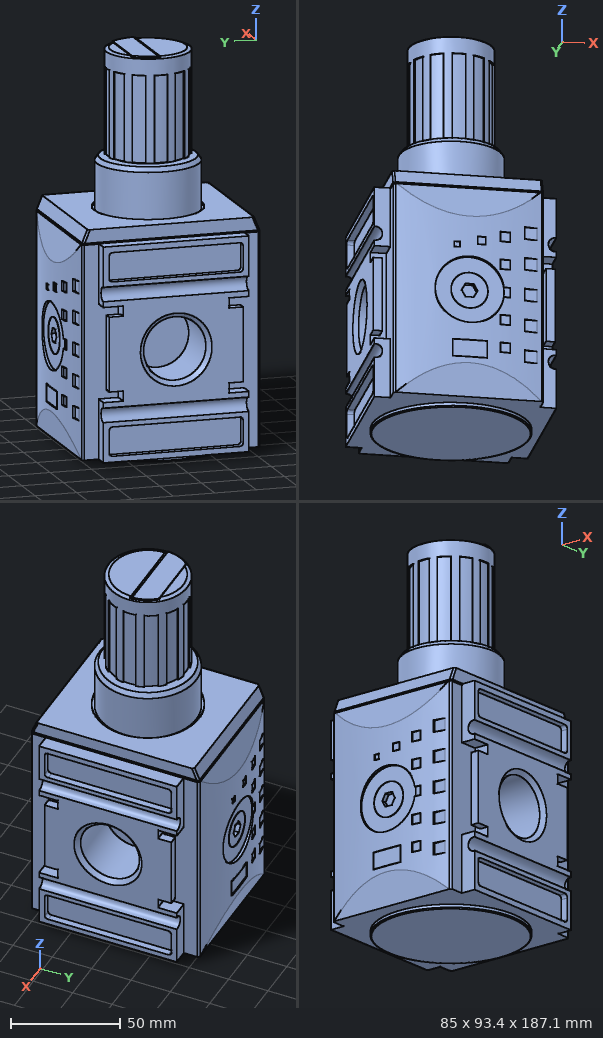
import cadquery as cq
import math

body_width = 70.0
body_depth = 85.7
body_bottom = 3.0
seam_height = 105.0
body_top = 111.7
top_depth = 80.0
corner_chamfer = 1.0
seam_gap = 0.7
seam_depth = 0.4
half_width = body_width / 2
half_depth = body_depth / 2
body_middle = (body_bottom + seam_height) / 2

overall_depth = 93.4
panel_reach = overall_depth / 2
panel_width = body_width - 2 * corner_chamfer
panel_slope_height = 15.3
panel_rise = panel_reach - half_depth
crown_radius = ((panel_width / 2) ** 2 + panel_rise**2) / (2 * panel_rise)

mark_depth = 0.5
large_mark = 5.8
large_mark_x = 28.8
large_mark_pitch = 15.0
small_mark = 4.7
small_mark_x = 16.7
small_mark_pitch = 13.5
loose_marks = [(5.5, 24.1, 3.7), (-6.0, 21.7, 2.6)]
window_length = 16.0
window_height = 8.2
window_drop = 28.6
plug_radius = 16.0
plug_reach = 45.0
plug_boss_radius = 8.6
plug_boss_height = 0.2
hexagon_diameter = 7.5
hexagon_depth = 2.2

overall_width = 85.0
flange_reach = overall_width / 2
flange_width = body_width
opening_height = 44.9
clamp_slab_width = 64.4
clamp_slab_height = 35.4
clamp_slab_thickness = 4.3
clamp_stem_width = 50.9
groove_radius = 3.4
groove_depth = 3.7
groove_pitch = 57.0
pocket_width = 64.4
pocket_height = 13.8
pocket_pitch = 82.3
pocket_depth = 3.5
pocket_fillet = 1.7
port_radius = 15.0
port_mouth_radius = 17.2
port_depth = 28.0

bonnet_radius = 24.5
bonnet_top = 135.8
bonnet_bevel_height = 2.2
bonnet_bevel_width = 1.7
bonnet_gap_radius = 25.8
bonnet_gap_depth = 1.0
neck_radius = 17.2
knob_bottom = 136.8
knob_radius = 20.0
knob_top = 187.1
knob_bevel_width = 2.0
knob_bevel_height = 0.7
flute_top = 178.1
flute_radius = 19.3
flute_width = 6.4
flute_count = 12
knob_bar_radius = 19.0
knob_bar_height = 0.4
knob_bar_ramp = 1.1
knob_bar_end = 12.5
base_radius = 37.0
base_thickness = 2.0
base_chamfer = 0.5
base_neck_radius = 30.1


def box(x_range, y_range, z_range):
    """Block spanning the given ranges."""
    size = [high - low for low, high in (x_range, y_range, z_range)]
    corner = (x_range[0], y_range[0], z_range[0])
    return cq.Workplane("XY").box(*size, centered=False).translate(corner)


def cylinder(radius, bottom, top):
    """Vertical cylinder on the part axis."""
    return cq.Workplane("XY").workplane(offset=bottom).circle(radius).extrude(top - bottom)


def front_prism(x, z, width, height, reach_from, length):
    """Rectangular prism running towards -Y from y = -reach_from."""
    sketch = cq.Workplane("XZ", origin=(x, -reach_from, z)).rect(width, height)
    return sketch.extrude(length)


def on_both_ends(shape):
    """The shape together with a copy rotated by half a turn about Z."""
    return shape.union(shape.rotate((0, 0, 0), (0, 0, 1), 180))


def make_block():
    """Rectangular block with its cap tapered in Y and its corner edges bevelled."""
    block = (
        cq.Workplane("YZ", origin=(-half_width, 0, 0))
        .moveTo(-half_depth, body_bottom)
        .lineTo(half_depth, body_bottom)
        .lineTo(half_depth, seam_height)
        .lineTo(top_depth / 2, body_top)
        .lineTo(-top_depth / 2, body_top)
        .lineTo(-half_depth, seam_height)
        .close()
        .extrude(body_width)
        .faces("<X or >X")
        .edges("not |Y")
        .chamfer(corner_chamfer)
    )
    seam = (
        cq.Workplane("XY")
        .workplane(offset=seam_height - seam_gap / 2)
        .rect(2 * body_width, 2 * body_depth)
        .rect(body_width - 2 * seam_depth, body_depth - 2 * seam_depth)
        .extrude(seam_gap)
    )
    return block.cut(seam)


def make_panel():
    """Crowned -Y panel, sloped off at both ends."""
    crown = (
        cq.Workplane("XY", origin=(0, 0, body_bottom))
        .moveTo(-panel_width / 2, -half_depth)
        .threePointArc((0, -panel_reach), (panel_width / 2, -half_depth))
        .close()
        .extrude(seam_height - body_bottom)
    )
    slope_limit = (
        cq.Workplane("YZ", origin=(-half_width, 0, 0))
        .moveTo(0, body_bottom)
        .lineTo(-half_depth, body_bottom)
        .lineTo(-panel_reach, body_bottom + panel_slope_height)
        .lineTo(-panel_reach, seam_height - panel_slope_height)
        .lineTo(-half_depth, seam_height)
        .lineTo(0, seam_height)
        .close()
        .extrude(body_width)
    )
    return crown.intersect(slope_limit)


def panel_y(x):
    """Distance of the crowned panel surface from the XZ plane."""
    axis_distance = panel_reach - crown_radius
    return axis_distance + math.sqrt(crown_radius**2 - x**2)


def make_mark(x, z, width, height):
    """Cutter for a shallow rectangular recess in the -Y panel."""
    floor = panel_y(x) - mark_depth
    return front_prism(x, z, width, height, floor, panel_reach)


def make_marks():
    """Cutters for every recess in the -Y panel."""
    marks = make_mark(0, body_middle - window_drop, window_length, window_height)
    for row in range(-2, 3):
        large_z = body_middle + row * large_mark_pitch
        small_z = body_middle + row * small_mark_pitch
        marks = marks.union(make_mark(large_mark_x, large_z, large_mark, large_mark))
        marks = marks.union(make_mark(small_mark_x, small_z, small_mark, small_mark))
    for x, rise, side in loose_marks:
        marks = marks.union(make_mark(x, body_middle + rise, side, side))
    return marks


def cut_plug(panel):
    """Sink a round plug into the panel, with a low boss and a hexagon socket in its middle."""
    face_plane = cq.Workplane("XZ", origin=(0, -plug_reach, body_middle))
    recess = face_plane.circle(plug_radius).extrude(panel_reach - plug_reach)
    boss = face_plane.circle(plug_boss_radius).extrude(plug_boss_height)
    socket = face_plane.polygon(6, hexagon_diameter).extrude(hexagon_depth, both=True)
    return panel.cut(recess).union(boss).cut(socket)


def make_flange():
    """Flange on the -X face: two grooved rails and a T-shaped clamp pad between them."""
    outer = -flange_reach
    inner = -half_width
    half_flange = flange_width / 2
    flange = box((outer, inner), (-half_flange, half_flange), (body_bottom, seam_height))
    half_opening = opening_height / 2
    opening_z = (body_middle - half_opening, body_middle + half_opening)
    flange = flange.cut(box((outer, inner), (-half_flange, half_flange), opening_z))

    half_stem = clamp_stem_width / 2
    half_slab = clamp_slab_width / 2
    slab_z = (body_middle - clamp_slab_height / 2, body_middle + clamp_slab_height / 2)
    stem = box((outer, inner), (-half_stem, half_stem), opening_z)
    slab = box((outer, outer + clamp_slab_thickness), (-half_slab, half_slab), slab_z)
    flange = flange.union(stem).union(slab)

    groove_axis_x = outer + groove_depth - groove_radius
    pocket_middle = outer + pocket_depth / 2
    for side in (-1, 1):
        groove_z = body_middle + side * groove_pitch / 2
        groove_end = cq.Workplane("XZ", origin=(groove_axis_x, 0, groove_z))
        groove = groove_end.circle(groove_radius).extrude(half_flange, both=True)
        groove_mouth = box(
            (outer, groove_axis_x),
            (-half_flange, half_flange),
            (groove_z - groove_radius, groove_z + groove_radius),
        )
        pocket = (
            cq.Workplane("XY", origin=(pocket_middle, 0, body_middle + side * pocket_pitch / 2))
            .box(pocket_depth, pocket_width, pocket_height)
            .edges("|X")
            .fillet(pocket_fillet)
        )
        flange = flange.cut(groove).cut(groove_mouth).cut(pocket)
    return flange


def make_port():
    """Cutter for the blind port in the -X face with a 45 degree mouth."""
    mouth_depth = port_mouth_radius - port_radius
    return (
        cq.Workplane("XZ", origin=(-flange_reach, 0, body_middle))
        .lineTo(0, port_mouth_radius)
        .lineTo(mouth_depth, port_radius)
        .lineTo(port_depth, port_radius)
        .lineTo(port_depth, 0)
        .close()
        .revolve(360, (0, 0, 0), (1, 0, 0))
    )


def make_bonnet():
    """Bevelled round bonnet with the knob's neck on top."""
    bonnet = cylinder(bonnet_radius, body_top - bonnet_gap_depth, bonnet_top)
    bonnet = bonnet.faces(">Z").chamfer(bonnet_bevel_height, bonnet_bevel_width)
    return bonnet.union(cylinder(neck_radius, bonnet_top, knob_bottom))


def make_knob():
    """Fluted knob with a bevelled rim and a low bar across its top."""
    rim_top = knob_top - knob_bar_height
    knob = cylinder(knob_radius, knob_bottom, rim_top)
    knob = knob.faces(">Z").chamfer(knob_bevel_height, knob_bevel_width)
    core = cylinder(flute_radius, knob_bottom, flute_top)
    ring = cylinder(knob_radius, knob_bottom, flute_top).cut(core)
    half_flute = flute_width / 2
    flute_block = box((0, knob_radius), (-half_flute, half_flute), (knob_bottom, flute_top))
    flute = ring.intersect(flute_block)
    for index in range(flute_count):
        knob = knob.cut(flute.rotate((0, 0, 0), (0, 0, 1), index * 360 / flute_count))
    bar_limit = (
        cq.Workplane("YZ", origin=(-knob_radius, 0, 0))
        .moveTo(0, flute_top)
        .lineTo(0, rim_top)
        .lineTo(knob_bar_ramp, knob_top)
        .lineTo(knob_bar_end, knob_top)
        .lineTo(knob_bar_end, flute_top)
        .close()
        .extrude(2 * knob_radius)
    )
    return knob.union(cylinder(knob_bar_radius, flute_top, knob_top).intersect(bar_limit))


def make_base():
    """Round disc below the body, held by a narrower neck."""
    disc = cylinder(base_radius, 0, base_thickness).faces("<Z").chamfer(base_chamfer)
    return disc.union(cylinder(base_neck_radius, base_thickness, body_bottom))


panel = cut_plug(make_panel().cut(make_marks()))
bonnet_gap = cylinder(bonnet_gap_radius, body_top - bonnet_gap_depth, body_top)

result = make_block().cut(bonnet_gap)
for feature in (on_both_ends(panel), on_both_ends(make_flange())):
    result = result.union(feature)
result = result.cut(on_both_ends(make_port()))
for feature in (make_bonnet(), make_knob(), make_base()):
    result = result.union(feature)